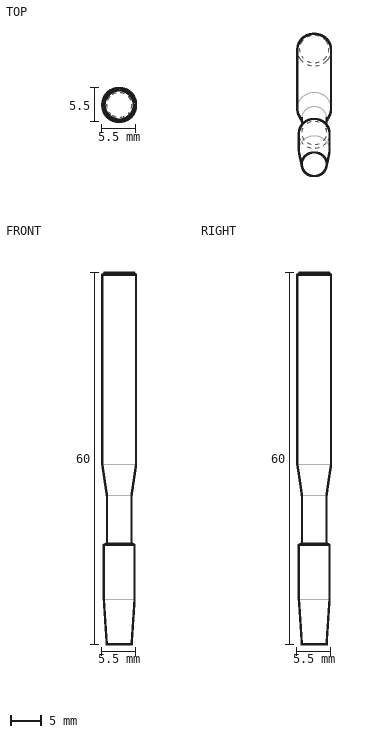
import cadquery as cq

overall_length = 60.0

head_diameter = 5.0
tip_diameter = 4.05
tip_taper_length = 7.2
head_length = 16.3
head_chamfer_height = 0.3

shank_diameter = 5.5
shank_length = 31.0
shank_chamfer = 0.4
neck_diameter = 4.0
neck_taper_length = 5.0

shank_bottom = overall_length - shank_length
neck_top = shank_bottom - neck_taper_length


def turned(profile):
    """Turn a half profile of (radius, height) points about the Z axis."""
    return cq.Workplane("XZ").polyline(profile).close().revolve(360, (0, 0), (0, 1))


def make_cutting_head():
    """Cylinder with a tapered lead-in at the tip and an upper rim sloping in to the neck."""
    radius = head_diameter / 2
    return turned([
        (0, 0),
        (tip_diameter / 2, 0),
        (radius, tip_taper_length),
        (radius, head_length - head_chamfer_height),
        (neck_diameter / 2, head_length),
        (0, head_length),
    ])


def make_shank():
    """Chamfered shank that tapers down to the neck standing on the head."""
    radius = shank_diameter / 2
    return turned([
        (0, head_length),
        (neck_diameter / 2, head_length),
        (neck_diameter / 2, neck_top),
        (radius, shank_bottom),
        (radius, overall_length - shank_chamfer),
        (radius - shank_chamfer, overall_length),
        (0, overall_length),
    ])


cutting_head = make_cutting_head()
shank = make_shank()

result = cq.Compound.makeCompound([cutting_head.val(), shank.val()])